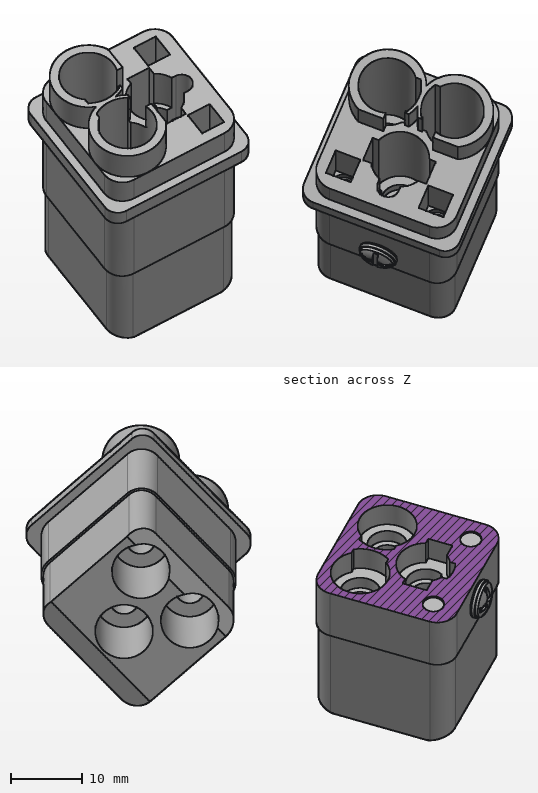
import cadquery as cq

Z_STEP = 15.5
Z_FLANGE = 30.65
FLANGE_THICKNESS = 2.5
Z_FACE = 37.55
Z_TOP = 42.5

LOWER_SIZE = 20.5
UPPER_SIZE = 21.1
FLANGE_SIZE = 23.6
LOWER_CORNER_RADIUS = 2.7
UPPER_CORNER_RADIUS = 3.0
FLANGE_CORNER_RADIUS = 2.2
END_BEVEL_RUN = 3.0
END_BEVEL_HEIGHT = 1.1

LOWER_CONTACT_X = 5.07
LOWER_CONTACT_Y = -5.11
UPPER_CONTACT_Y = 2.76
BORE_RADIUS = 4.13
SEAT_RADIUS = 2.83
THROUGH_RADIUS = 2.04
CABLE_BORE_RADIUS = 4.05
Z_BORE_FLOOR = 20.0
Z_SEAT_FLOOR = 18.0
CABLE_BORE_DEPTH = 12.0

COLLAR_RADIUS = 5.45
COLLAR_FLAT_OFFSET = 4.86
KEYWAY_RADIUS = 4.74
KEYWAY_HALF_WIDTH = 2.6
COLLAR_GAP_HALF_WIDTH = 3.76
COLLAR_TIP_HALF_WIDTH = 1.3
COLLAR_TIP_OFFSET = 2.89
COLLAR_TIP_RADIUS = 5.24

SIDE_SLOT_HALF_WIDTH = 4.78
SIDE_SLOT_TOP = 2.07
SIDE_SLOT_BOTTOM = -1.53
KEY_SLOT_RADIUS = 1.58
KEY_SLOT_CENTER_Y = 7.2
KEY_SLOT_DEPTH = 10.0
LEDGE_INNER_RADIUS = 3.4
LEDGE_DEPTH = 7.0
SEAT_LIP_RADIUS = 2.62
SEAT_LIP_OFFSET = 1.4

POCKET_X = 7.02
POCKET_Y = 6.75
POCKET_WIDTH = 3.75
POCKET_HEIGHT = 3.65
POCKET_DEPTH = 8.0
POCKET_RECESS_RADIUS = 1.8
POCKET_HOLE_RADIUS = 1.48
POCKET_RECESS_DEPTH = 1.0
POCKET_HOLE_DEPTH = 6.0

SCREW_Z = 19.95
SCREW_NECK_RADIUS = 2.65
SCREW_WASHER_RADIUS = 2.79
SCREW_HEAD_RADIUS = 2.53
SCREW_TIP_RADIUS = 1.27
SCREW_MID_RADIUS = 2.05
SCREW_NECK_LENGTH = 0.2
SCREW_ROOT_LENGTH = 1.0
SCREW_WASHER_THICKNESS = 0.5
SCREW_RIM_LENGTH = 0.43
SCREW_DOME_HEIGHT = 0.6
SCREW_MID_HEIGHT = 0.35
SCREW_SLOT_WIDTH = 0.72
SCREW_SLOT_DEPTH = 0.42


def rounded_square(size, radius, z_low, z_high):
    block = cq.Workplane("XY", origin=(0, 0, z_low)).rect(size, size).extrude(z_high - z_low)
    return block.edges("|Z").fillet(radius)


def cylinder(x, y, radius, z_low, z_high):
    return cq.Workplane("XY", origin=(x, y, z_low)).circle(radius).extrude(z_high - z_low)


def box(x_low, x_high, y_low, y_high, z_low, z_high):
    size = (x_high - x_low, y_high - y_low, z_high - z_low)
    return cq.Workplane("XY").box(*size, centered=False).translate((x_low, y_low, z_low))


def make_body():
    lower = rounded_square(LOWER_SIZE, LOWER_CORNER_RADIUS, 0, Z_STEP)
    upper = rounded_square(UPPER_SIZE, UPPER_CORNER_RADIUS, Z_STEP, Z_FACE)
    flange = rounded_square(FLANGE_SIZE, FLANGE_CORNER_RADIUS, Z_FLANGE, Z_FLANGE + FLANGE_THICKNESS)
    half = LOWER_SIZE / 2
    for side in (-1, 1):
        bevel = (
            cq.Workplane("YZ", origin=(-half, 0, 0))
            .moveTo(side * half, 0)
            .lineTo(side * (half - END_BEVEL_RUN), 0)
            .lineTo(side * half, END_BEVEL_HEIGHT)
            .close()
            .extrude(LOWER_SIZE)
        )
        lower = lower.cut(bevel)
    return lower.union(upper).union(flange)


def lower_contact_discs(radius):
    left = cylinder(-LOWER_CONTACT_X, LOWER_CONTACT_Y, radius, Z_FACE, Z_TOP)
    right = cylinder(LOWER_CONTACT_X, LOWER_CONTACT_Y, radius, Z_FACE, Z_TOP)
    return left.union(right)


def make_collars():
    """Two raised discs, flattened on the +Y side and cut back toward the upper contact."""
    x_gap = COLLAR_GAP_HALF_WIDTH
    x_tip = COLLAR_TIP_HALF_WIDTH
    y_flat = LOWER_CONTACT_Y + COLLAR_FLAT_OFFSET
    y_tip = LOWER_CONTACT_Y + COLLAR_TIP_OFFSET
    y_gap = LOWER_CONTACT_Y + KEYWAY_HALF_WIDTH
    y_clear = LOWER_CONTACT_Y + COLLAR_RADIUS

    above_flat = box(-UPPER_SIZE, UPPER_SIZE, y_flat, y_clear, Z_FACE, Z_TOP)
    above_tips = box(-x_gap, x_gap, y_tip, y_clear, Z_FACE, Z_TOP)
    collars = lower_contact_discs(COLLAR_RADIUS).cut(above_flat).cut(above_tips)
    for side in (-1, 1):
        x_low, x_high = sorted((side * x_tip, side * x_gap))
        collars = collars.cut(box(x_low, x_high, y_gap, y_clear, Z_FACE, Z_TOP))

    between_tips = box(-x_tip, x_tip, LOWER_CONTACT_Y, y_clear, Z_FACE, Z_TOP)
    return collars.cut(between_tips.cut(lower_contact_discs(COLLAR_TIP_RADIUS)))


def contact_bore(x, y):
    cutter = cylinder(x, y, BORE_RADIUS, Z_BORE_FLOOR, Z_TOP)
    cutter = cutter.union(cylinder(x, y, THROUGH_RADIUS, 0, Z_TOP))
    return cutter.union(cylinder(x, y, CABLE_BORE_RADIUS, 0, CABLE_BORE_DEPTH))


def lower_contact_cutter(side):
    """Stepped bore with a wide keyway on the side facing the middle of the part."""
    x = side * LOWER_CONTACT_X
    y = LOWER_CONTACT_Y
    x_low, x_high = sorted((x, x - side * KEYWAY_RADIUS))
    keyway = cylinder(x, y, KEYWAY_RADIUS, Z_BORE_FLOOR, Z_TOP).intersect(
        box(x_low, x_high, y - KEYWAY_HALF_WIDTH, y + KEYWAY_HALF_WIDTH, Z_BORE_FLOOR, Z_TOP)
    )
    seat = cylinder(x, y, SEAT_RADIUS, Z_SEAT_FLOOR, Z_BORE_FLOOR)
    return contact_bore(x, y).union(keyway).union(seat)


def upper_contact_cutter():
    """Stepped bore with two side slots, a round-ended key slot and two ledges."""
    y = UPPER_CONTACT_Y
    y_slot_top = y + SIDE_SLOT_TOP
    z_ledge = Z_FACE - LEDGE_DEPTH
    z_key = Z_FACE - KEY_SLOT_DEPTH
    x_slot = SIDE_SLOT_HALF_WIDTH
    x_key = KEY_SLOT_RADIUS
    side_slots = box(-x_slot, x_slot, y + SIDE_SLOT_BOTTOM, y_slot_top, Z_BORE_FLOOR, Z_FACE)
    key_slot = box(-x_key, x_key, y, KEY_SLOT_CENTER_Y, z_key, Z_FACE)
    key_end = cylinder(0, KEY_SLOT_CENTER_Y, x_key, z_key, Z_FACE)

    ledges = cylinder(0, y, BORE_RADIUS, Z_BORE_FLOOR, z_ledge)
    ledges = ledges.cut(cylinder(0, y, LEDGE_INNER_RADIUS, Z_BORE_FLOOR, z_ledge))
    ledges = ledges.intersect(
        box(-BORE_RADIUS, BORE_RADIUS, y_slot_top, y + BORE_RADIUS, Z_BORE_FLOOR, z_ledge)
    )
    ledges = ledges.cut(box(-x_key, x_key, y, y + BORE_RADIUS, Z_BORE_FLOOR, z_ledge))

    lip = box(-SEAT_RADIUS, SEAT_RADIUS, y + SEAT_LIP_OFFSET, y + SEAT_RADIUS, Z_SEAT_FLOOR, Z_BORE_FLOOR)
    seat = cylinder(0, y, SEAT_RADIUS, Z_SEAT_FLOOR, Z_BORE_FLOOR).cut(lip)
    seat = seat.union(cylinder(0, y, SEAT_LIP_RADIUS, Z_SEAT_FLOOR, Z_BORE_FLOOR))
    bore = contact_bore(0, y).cut(ledges)
    return bore.union(side_slots).union(key_slot).union(key_end).union(seat)


def pocket_cutter(x):
    """Square pocket with a two-step round blind hole in its floor."""
    z_floor = Z_FACE - POCKET_DEPTH
    square = box(
        x - POCKET_WIDTH / 2, x + POCKET_WIDTH / 2,
        POCKET_Y - POCKET_HEIGHT / 2, POCKET_Y + POCKET_HEIGHT / 2,
        z_floor, Z_FACE,
    )
    recess = cylinder(x, POCKET_Y, POCKET_RECESS_RADIUS, z_floor - POCKET_RECESS_DEPTH, z_floor)
    hole = cylinder(x, POCKET_Y, POCKET_HOLE_RADIUS, z_floor - POCKET_HOLE_DEPTH, z_floor)
    return square.union(recess).union(hole)


def make_screw():
    """Domed cross-slot screw head with its washer, turned about an axis along Y."""
    y_face = UPPER_SIZE / 2
    y_root = y_face - SCREW_ROOT_LENGTH
    y_washer = y_face + SCREW_NECK_LENGTH
    y_head = y_washer + SCREW_WASHER_THICKNESS
    y_dome = y_head + SCREW_RIM_LENGTH
    y_tip = y_dome + SCREW_DOME_HEIGHT
    screw = (
        cq.Workplane("XY")
        .moveTo(0, y_root)
        .lineTo(SCREW_NECK_RADIUS, y_root)
        .lineTo(SCREW_NECK_RADIUS, y_washer)
        .lineTo(SCREW_WASHER_RADIUS, y_washer)
        .lineTo(SCREW_WASHER_RADIUS, y_head)
        .lineTo(SCREW_HEAD_RADIUS, y_head)
        .lineTo(SCREW_HEAD_RADIUS, y_dome)
        .threePointArc((SCREW_MID_RADIUS, y_dome + SCREW_MID_HEIGHT), (SCREW_TIP_RADIUS, y_tip))
        .lineTo(0, y_tip)
        .close()
        .revolve(360, (0, 0, 0), (0, 1, 0))
    )
    half_slot = SCREW_SLOT_WIDTH / 2
    reach = SCREW_HEAD_RADIUS
    y_slot = y_tip - SCREW_SLOT_DEPTH
    screw = screw.cut(box(-reach, reach, y_slot, y_tip, -half_slot, half_slot))
    screw = screw.cut(box(-half_slot, half_slot, y_slot, y_tip, -reach, reach))
    return screw.translate((0, 0, SCREW_Z))


part = make_body().union(make_collars())
for side in (-1, 1):
    part = part.cut(lower_contact_cutter(side))
    part = part.cut(pocket_cutter(side * POCKET_X))
part = part.cut(upper_contact_cutter())

result = part.union(make_screw())